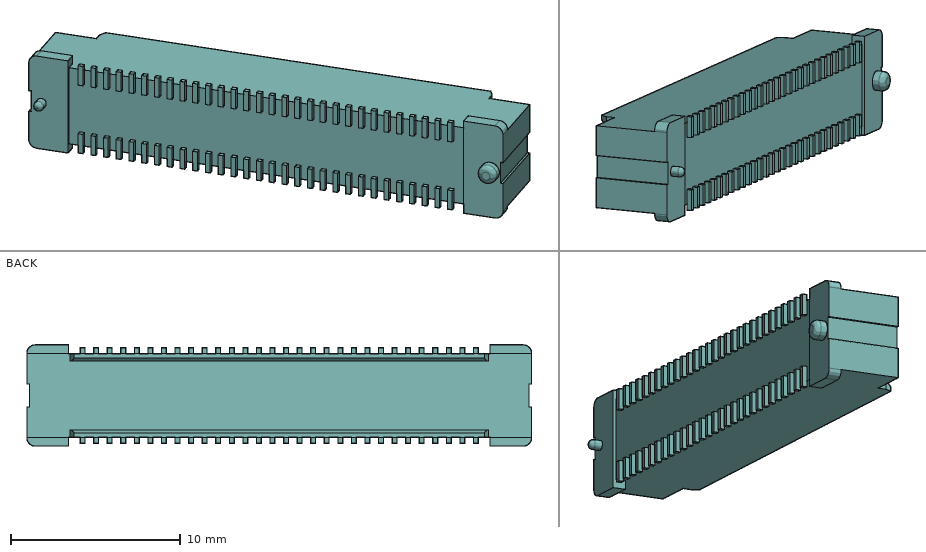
import cadquery as cq


length = 29.8
body_height = 4.95
body_front = 0.18
shoulder = 4.62

wall_rise = 0.98
wall_inset = 2.55
wall_thickness = 0.45
corner_length = 0.45
corner_width = 0.25
lead_in_length = 0.3
lead_in_width = 0.18

foot_width = 2.47
foot_height = 6.0
foot_depth = 0.8
foot_corner_radius = 0.5

groove_width = 1.35
groove_depth = 0.15

contact_count = 30
contact_row_span = 23.2
contact_width = 0.3
contact_inner = 1.58
contact_outer = 2.83
contact_proud = 0.12

peg_length = 0.75
peg_inset = 0.8
small_peg_diameter = 0.6
small_peg_tip_radius = 0.27
large_peg_diameter = 1.15
large_peg_tip_radius = 0.33


def block(x_range, y_range, z_range):
    """Box spanning the given (low, high) ranges."""
    sizes = [high - low for low, high in (x_range, y_range, z_range)]
    corner = (x_range[0], y_range[0], z_range[0])
    return cq.Workplane("XY").box(*sizes, centered=False).translate(corner)


def make_body():
    half_length = length / 2
    half_height = body_height / 2
    return block((-half_length, half_length), (body_front, shoulder), (-half_height, half_height))


def make_wall(side):
    """Long mating wall on the given Z side (+1 or -1).

    Its outer face is flush with the housing; the tip is bevelled at both ends and on the inner edge.
    """
    tip = shoulder + wall_rise
    corner_start = tip - corner_length
    half_wall = length / 2 - wall_inset
    half_tip = half_wall - corner_width
    outline = (
        cq.Workplane("XY")
        .moveTo(-half_wall, shoulder)
        .lineTo(half_wall, shoulder)
        .lineTo(half_wall, corner_start)
        .lineTo(half_tip, tip)
        .lineTo(-half_tip, tip)
        .lineTo(-half_wall, corner_start)
        .close()
        .extrude(body_height, both=True)
    )
    outer = side * body_height / 2
    inner = outer - side * wall_thickness
    section = (
        cq.Workplane("YZ")
        .moveTo(shoulder, outer)
        .lineTo(tip, outer)
        .lineTo(tip, inner + side * lead_in_width)
        .lineTo(tip - lead_in_length, inner)
        .lineTo(shoulder, inner)
        .close()
        .extrude(half_wall, both=True)
    )
    return outline.intersect(section)


def make_foot(end):
    """Wide foot at the given X end (+1 or -1), rounded at its outer corners."""
    outer = end * length / 2
    inner = outer - end * foot_width
    half_height = foot_height / 2
    foot = block(sorted((inner, outer)), (0, foot_depth), (-half_height, half_height))
    outer_edges = "|Y and >X" if end > 0 else "|Y and <X"
    return foot.edges(outer_edges).fillet(foot_corner_radius)


def make_groove(end):
    """Cutter for the shallow groove running down an end face along Y."""
    outer = end * length / 2
    bottom = outer - end * groove_depth
    half_width = groove_width / 2
    return block(sorted((bottom, outer)), (0, shoulder), (-half_width, half_width))


def make_contact(x, side):
    """Flat solder tail reaching past the housing on the given Z side."""
    half_width = contact_width / 2
    z_range = sorted((side * contact_inner, side * contact_outer))
    return block((x - half_width, x + half_width), (-contact_proud, body_front), z_range)


def make_peg(end, diameter, tip_radius):
    """Locating peg with a rounded tip, standing on the foot at the given X end."""
    center = end * (length / 2 - peg_inset)
    peg = cq.Workplane("XZ").center(center, 0).circle(diameter / 2).extrude(peg_length)
    return peg.faces("<Y").edges().fillet(tip_radius)


result = make_body()

for side in (-1, 1):
    result = result.union(make_wall(side))

for end in (-1, 1):
    result = result.union(make_foot(end))
    result = result.cut(make_groove(end))

contact_pitch = contact_row_span / (contact_count - 1)
for side in (-1, 1):
    for index in range(contact_count):
        x = index * contact_pitch - contact_row_span / 2
        result = result.union(make_contact(x, side))

result = result.union(make_peg(-1, small_peg_diameter, small_peg_tip_radius))
result = result.union(make_peg(1, large_peg_diameter, large_peg_tip_radius))